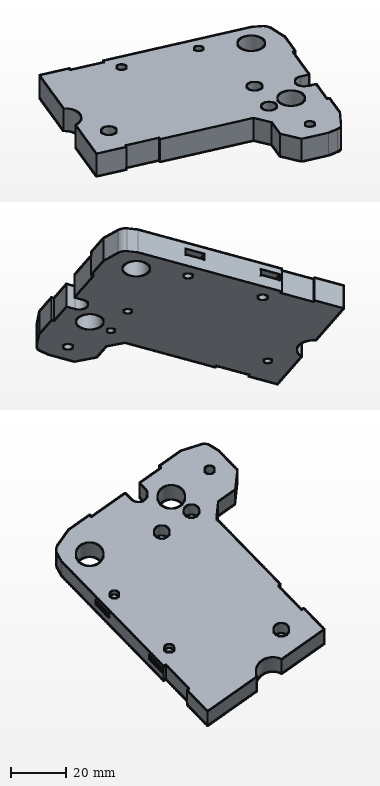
import cadquery as cq

LENGTH = 92
WIDTH = 74.2
THICKNESS = 10.0
BODY_WIDTH = 55.0

FLANK_RUN = 1.0
FLANK_START_DROP = 8.8
FLANK_END_DROP = 4.9
SHOULDER_START_RUN = 3.5
SHOULDER_START_DROP = 2.5
SHOULDER_RUN = 10.6

ARM_BOTTOM = 66.6
ARM_CHAMFER = 6.1
ARM_INNER_CHAMFER = 5.1

RECESS_DEPTH = 1.0
SIDE_RECESS_BOTTOM = 11.8
SIDE_RECESS_TOP = 25.0
TOP_RECESS_LEFT = 20.6
TOP_RECESS_RIGHT = 53.4

NOTCH_X = 39.8
NOTCH_WIDTH = 6.6
NOTCH_DEPTH = 7.8

SCALLOP_X = 29.1
SCALLOP_RADIUS = 6.2
SCALLOP_HEIGHT = 4.1

UPPER_HOLE_Y = 79.0
LARGE_HOLE_DIAMETER = 10.0
LARGE_HOLE_XS = (9.85, 48.3)
ARM_HOLE_X = 66.35
SMALL_HOLE_DIAMETER = 3.7

SCREW_POINTS = [(36.1, 69.7), (50.1, 69.7), (42.9, 9.85)]
SCREW_DIAMETER = 3.0
HEAD_DIAMETER = 5.7
HEAD_DEPTH = 7.0

NUT_HOLES = [(5.8, 60.1, 3.4), (6.4, 29.6, SMALL_HOLE_DIAMETER)]
POCKET_WIDTH = 7.6
POCKET_HEIGHT = 2.5
POCKET_FLOOR = 4.8


def box(left, right, bottom, top, floor=0, height=THICKNESS):
    """Upright block between the given X and Y limits."""
    return (
        cq.Workplane("XY")
        .box(right - left, top - bottom, height, centered=False)
        .translate((left, bottom, floor))
    )


def rod(x, y, diameter):
    """Vertical cylinder through the full thickness."""
    return cq.Workplane("XY").center(x, y).circle(diameter / 2).extrude(THICKNESS)


def make_plate():
    """Body and side arm with the two shaped upper corners."""
    return (
        cq.Workplane("XY")
        .lineTo(BODY_WIDTH, 0)
        .lineTo(BODY_WIDTH, ARM_BOTTOM - ARM_INNER_CHAMFER)
        .lineTo(BODY_WIDTH + ARM_INNER_CHAMFER, ARM_BOTTOM)
        .lineTo(WIDTH - ARM_CHAMFER, ARM_BOTTOM)
        .lineTo(WIDTH, ARM_BOTTOM + ARM_CHAMFER)
        .lineTo(WIDTH, LENGTH - FLANK_START_DROP)
        .lineTo(WIDTH - FLANK_RUN, LENGTH - FLANK_END_DROP)
        .tangentArcPoint((WIDTH - SHOULDER_START_RUN, LENGTH - SHOULDER_START_DROP), relative=False)
        .lineTo(WIDTH - SHOULDER_RUN, LENGTH)
        .lineTo(SHOULDER_RUN, LENGTH)
        .lineTo(SHOULDER_START_RUN, LENGTH - SHOULDER_START_DROP)
        .tangentArcPoint((FLANK_RUN, LENGTH - FLANK_END_DROP), relative=False)
        .lineTo(0, LENGTH - FLANK_START_DROP)
        .close()
        .extrude(THICKNESS)
    )


def cut_edges(part):
    """Edge recesses, the top notch and the bottom scallop."""
    for left in (0, BODY_WIDTH - RECESS_DEPTH):
        part = part.cut(box(left, left + RECESS_DEPTH, SIDE_RECESS_BOTTOM, SIDE_RECESS_TOP))
    part = part.cut(box(TOP_RECESS_LEFT, TOP_RECESS_RIGHT, LENGTH - RECESS_DEPTH, LENGTH))

    notch_radius = NOTCH_WIDTH / 2
    notch_center_y = LENGTH - NOTCH_DEPTH + notch_radius
    part = part.cut(box(NOTCH_X - notch_radius, NOTCH_X + notch_radius, notch_center_y, LENGTH))
    part = part.cut(rod(NOTCH_X, notch_center_y, NOTCH_WIDTH))
    return part.cut(rod(SCALLOP_X, SCALLOP_HEIGHT - SCALLOP_RADIUS, 2 * SCALLOP_RADIUS))


def cut_holes(part):
    """Plain through holes and counterbored screw holes."""
    for x in LARGE_HOLE_XS:
        part = part.cut(rod(x, UPPER_HOLE_Y, LARGE_HOLE_DIAMETER))
    part = part.cut(rod(ARM_HOLE_X, UPPER_HOLE_Y, SMALL_HOLE_DIAMETER))
    return (
        part.faces(">Z")
        .workplane(origin=(0, 0, THICKNESS))
        .pushPoints(SCREW_POINTS)
        .cboreHole(SCREW_DIAMETER, HEAD_DIAMETER, HEAD_DEPTH)
    )


def cut_nut_pockets(part):
    """Side pockets reaching half a pocket width past their vertical holes."""
    half_width = POCKET_WIDTH / 2
    for x, y, diameter in NUT_HOLES:
        part = part.cut(rod(x, y, diameter))
        pocket = box(0, x + half_width, y - half_width, y + half_width, POCKET_FLOOR, POCKET_HEIGHT)
        part = part.cut(pocket)
    return part


result = cut_nut_pockets(cut_holes(cut_edges(make_plate())))